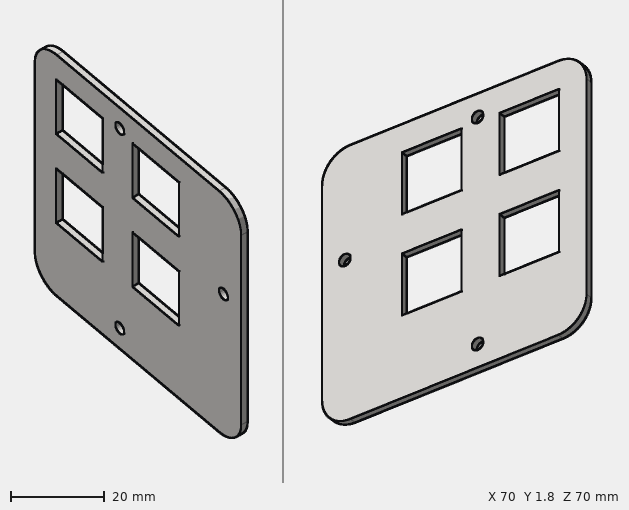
import cadquery as cq

plate_side = 70.0
plate_thickness = 1.8
corner_radius = 7.5

window_side = 15.75
window_pitch = 25.8
grid_offset = 6.9

hole_diameter = 3.0
hole_edge_distance = 6.0
hole_offset = 6.15

hole_reach = plate_side / 2 - hole_edge_distance
hole_centres = [
    (-hole_offset, hole_reach),
    (-hole_offset, -hole_reach),
    (hole_reach, hole_offset),
]


def through_plate(sketch):
    """Extrude an XZ sketch through the plate thickness."""
    return sketch.extrude(plate_thickness / 2, both=True)


plate = through_plate(cq.Workplane("XZ").rect(plate_side, plate_side))
plate = plate.edges("|Y").fillet(corner_radius)

windows = through_plate(
    cq.Workplane("XZ")
    .center(-grid_offset, grid_offset)
    .rarray(window_pitch, window_pitch, 2, 2)
    .rect(window_side, window_side)
)

holes = through_plate(cq.Workplane("XZ").pushPoints(hole_centres).circle(hole_diameter / 2))

result = plate.cut(windows).cut(holes)